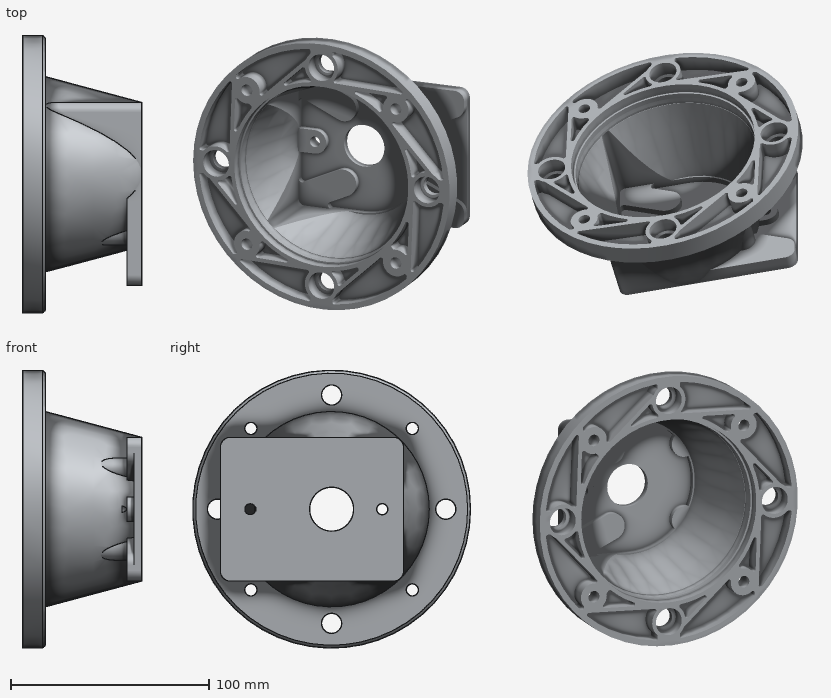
import cadquery as cq
import math


flange_diameter = 140.0
flange_thickness = 11.5
flange_chamfer = 1.5
hole_circle_radius = 57.5
large_hole_diameter = 10.0
counterbore_diameter = 14.0
counterbore_depth = 8.0
small_hole_diameter = 6.0
holes_per_kind = 4

pocket_depth = 9.0
rim_width = 3.0
pocket_inner_radius = 49.5
large_boss_radius = 9.0
small_boss_radius = 7.0
large_boss_neck_half_width = 6.0
small_boss_neck_half_width = 4.0
rib_width = 2.0
rib_distance = 49.4
rib_tilt = 2.2
rib_overlap = 2.0
pocket_fillet = 1.0

spigot_diameter = 95.0
spigot_depth = 5.4
bore_diameter = 93.0
bore_depth = 8.3
bore_lip_diameter = 92.5
bore_lip_start = 10.4
bell_floor = 11.7

total_length = 60.0
box_half_width = 36.2
box_corner_radius = 5.0
box_wall = 1.9
cone_slope = math.tan(math.radians(15))
cone_tip_radius = 36.2
cone_wall = 3.1
cone_base_fillet = 2.0

plate_thickness = 7.5
recess_depth = 3.5
plate_min_y = -56.0
shaft_hole_diameter = 22.0
recess_fillet = 1.8
arm_end_fillet = 6.0

motor_y = (box_half_width + plate_min_y) / 2
motor_hole_offset = 19.8
arm_radius = 7.0
arm_angle = 24.5
arm_length = 50.0
lug_radius = 6.2
lug_hole_diameter = 5.5
inner_lug_y = 25.5
outer_lug_y = -41.0
outer_lug_hole_start = 50.0
screw_boss_radius = 6.0
outer_recess_half_width = motor_hole_offset + arm_radius - 2.0
arm_corner_reach = 28.0
margin = 1.0

plate_x = total_length - plate_thickness
recess_floor_x = plate_x + recess_depth
inner_half_width = box_half_width - box_wall
along_x = cq.selectors.ParallelDirSelector(cq.Vector(1, 0, 0))


def yz(x):
    return cq.Workplane("YZ", origin=(x, 0, 0))


def cylinder(x, y, z, radius, length):
    return yz(x).center(y, z).circle(radius).extrude(length)


def block(x, length, y_min, y_max, half_width):
    size_y = y_max - y_min
    return yz(x).center((y_min + y_max) / 2, 0).rect(size_y, 2 * half_width).extrude(length)


def revolved(outline):
    return cq.Workplane("XY").polyline(outline).close().revolve(360, (0, 0, 0), (1, 0, 0))


def flange_pockets():
    outer_radius = flange_diameter / 2 - rim_width
    pockets = yz(0).circle(outer_radius).circle(pocket_inner_radius).extrude(pocket_depth)
    rib = (
        yz(0)
        .center(rib_distance, outer_radius / 2 - rib_overlap)
        .rect(rib_width, outer_radius)
        .extrude(pocket_depth)
        .rotate((0, 0, 0), (1, 0, 0), rib_tilt)
    )
    large_boss = cylinder(0, hole_circle_radius, 0, large_boss_radius, pocket_depth).union(
        block(0, pocket_depth, hole_circle_radius, outer_radius, large_boss_neck_half_width)
    )
    small_boss = cylinder(0, hole_circle_radius, 0, small_boss_radius, pocket_depth).union(
        block(0, pocket_depth, spigot_diameter / 2, hole_circle_radius, small_boss_neck_half_width)
    )
    for i in range(2 * holes_per_kind):
        boss = large_boss if i % 2 == 0 else small_boss
        angle = i * 180 / holes_per_kind
        pockets = pockets.cut(boss.union(rib).rotate((0, 0, 0), (1, 0, 0), angle))
    return pockets.edges("|X").fillet(pocket_fillet)


def flange():
    body = yz(0).circle(flange_diameter / 2).extrude(flange_thickness)
    return body.faces(">X").edges().chamfer(flange_chamfer).cut(flange_pockets())


def cut_flange_holes(body):
    def ring(first_angle):
        return yz(0).polarArray(hole_circle_radius, first_angle, 360, holes_per_kind)

    body = body.cut(ring(0).circle(large_hole_diameter / 2).extrude(flange_thickness))
    body = body.cut(ring(0).circle(counterbore_diameter / 2).extrude(counterbore_depth))
    half_step = 180 / holes_per_kind
    return body.cut(ring(half_step).circle(small_hole_diameter / 2).extrude(flange_thickness))


def cone_radius(x, tip_radius):
    return tip_radius + cone_slope * (total_length - x)


def cone(start_x, end_x, tip_radius):
    start_radius = cone_radius(start_x, tip_radius)
    end_radius = cone_radius(end_x, tip_radius)
    return revolved([(start_x, 0), (start_x, start_radius), (end_x, end_radius), (end_x, 0)])


def rounded_box(start_x, end_x, half_width, corner_radius):
    box = block(start_x, end_x - start_x, 0, half_width, half_width)
    return box.edges("|X and >Y").fillet(corner_radius)


def arm(side_y, side_z):
    """Pad that starts round a motor screw and runs out towards a corner of the plate."""
    angle = math.radians(arm_angle)
    start_y = motor_y + side_y * motor_hole_offset
    start_z = side_z * motor_hole_offset
    middle_y = start_y + side_y * arm_length / 2 * math.cos(angle)
    middle_z = start_z + side_z * arm_length / 2 * math.sin(angle)
    bar = (
        yz(plate_x)
        .center(middle_y, middle_z)
        .transformed(rotate=(0, 0, side_y * side_z * arm_angle))
        .rect(arm_length, 2 * arm_radius)
        .extrude(recess_depth)
    )
    return cylinder(plate_x, start_y, start_z, arm_radius, recess_depth).union(bar)


def lug(center_y, end_y):
    """Pad round a lug hole, running straight to end_y."""
    low, high = sorted((center_y, end_y))
    round_end = cylinder(plate_x, center_y, 0, lug_radius, recess_depth)
    return round_end.union(block(plate_x, recess_depth, low, high, lug_radius))


def bore():
    """Bore behind the spigot, tapering to a lip in front of the bell."""
    return revolved(
        [
            (0, 0),
            (0, bore_diameter / 2),
            (bore_depth, bore_diameter / 2),
            (bore_lip_start, bore_lip_diameter / 2),
            (bell_floor, bore_lip_diameter / 2),
            (bell_floor, 0),
        ]
    )


def cavity():
    """Hollow of the bell, from the bore to the plate."""
    box = rounded_box(bell_floor, plate_x, inner_half_width, box_corner_radius - box_wall)
    return cone(bell_floor, plate_x, cone_tip_radius - cone_wall).union(box)


def outer_recess():
    """Recess in the plate beyond the bell, between the two arms on the -Y side."""
    max_y = motor_y - motor_hole_offset
    recess = block(plate_x, recess_depth, plate_min_y, max_y, outer_recess_half_width)
    recess = recess.cut(arm(-1, 1)).cut(arm(-1, -1))
    return recess.cut(lug(outer_lug_y, 0))


def outer_arm_corners():
    """Edges where the sides of the -Y arms meet the end of the plate."""
    low = (plate_x - margin, plate_min_y - margin, -arm_corner_reach)
    high = (recess_floor_x + margin, plate_min_y + margin, arm_corner_reach)
    return cq.selectors.BoxSelector(low, high) & along_x


def inner_recess_corners():
    """Recess edges where the +Y arms run into the box walls."""
    outside = inner_half_width + margin
    inside = inner_half_width - margin
    near_wall = cq.selectors.BoxSelector((plate_x, margin, -outside), (recess_floor_x, outside, outside))
    off_wall = cq.selectors.BoxSelector((plate_x, margin, -inside), (recess_floor_x, inside, inside))
    return (near_wall - off_wall) & along_x


def inner_recess():
    """Recess inside the bell, round the pads, with its corners against the box walls rounded."""
    recess = block(plate_x, recess_depth, 0, inner_half_width, inner_half_width)
    recess = recess.union(cylinder(plate_x, 0, 0, inner_half_width, recess_depth))
    for side_z in (-1, 1):
        recess = recess.cut(arm(1, side_z)).cut(arm(-1, side_z))
    recess = recess.edges(inner_recess_corners()).fillet(recess_fillet)
    return recess.cut(lug(inner_lug_y, box_half_width))


def plate():
    body = block(plate_x, plate_thickness, plate_min_y, box_half_width, box_half_width)
    body = body.edges("|X").fillet(box_corner_radius).cut(outer_recess())
    return body.edges(outer_arm_corners()).fillet(arm_end_fillet)


def solid_bell():
    """Flange, cone, box, plate and screw bosses before they are hollowed."""
    body = flange().union(cone(flange_thickness, total_length, cone_tip_radius))
    base_point = (flange_thickness, cone_radius(flange_thickness, cone_tip_radius), 0)
    base_edge = cq.selectors.NearestToPointSelector(base_point)
    body = body.edges(base_edge).fillet(cone_base_fillet)
    body = body.union(rounded_box(flange_thickness, total_length, box_half_width, box_corner_radius))
    body = body.union(plate())
    boss_y = motor_y - motor_hole_offset
    boss_length = total_length - flange_thickness
    for side_z in (-1, 1):
        boss_z = side_z * motor_hole_offset
        body = body.union(cylinder(flange_thickness, boss_y, boss_z, screw_boss_radius, boss_length))
    return body


def cut_plate_holes(body):
    lug_hole_radius = lug_hole_diameter / 2
    outer_hole_length = total_length - outer_lug_hole_start
    body = body.cut(cylinder(plate_x, 0, 0, shaft_hole_diameter / 2, plate_thickness))
    body = body.cut(cylinder(plate_x, inner_lug_y, 0, lug_hole_radius, plate_thickness))
    return body.cut(cylinder(outer_lug_hole_start, outer_lug_y, 0, lug_hole_radius, outer_hole_length))


body = solid_bell()
body = body.cut(cylinder(0, 0, 0, spigot_diameter / 2, spigot_depth))
body = body.cut(bore())
body = body.cut(cavity())
body = body.cut(inner_recess())
body = cut_plate_holes(body)
result = cut_flange_holes(body)